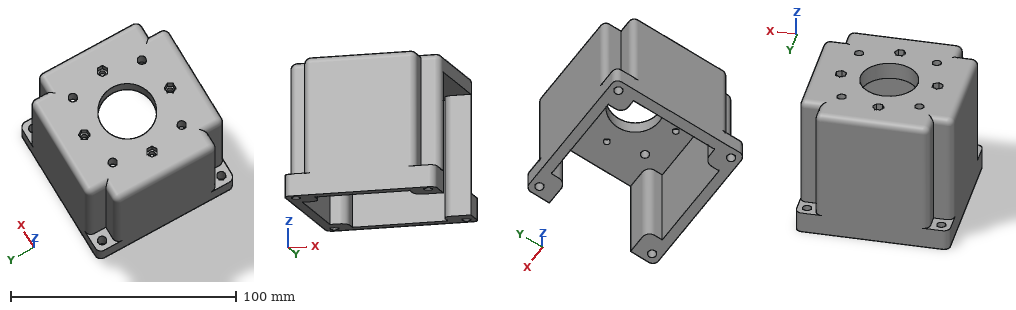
import cadquery as cq

SIDE = 70.0
HEIGHT = 63.0
EDGE_RADIUS = 3.0

CORNER_STEP = 9.0
FLANGE_THICKNESS = 10.0
FLANGE_HOLE_DIAMETER = 4.0
FLANGE_HOLE_INSET = 4.5

TOP_THICKNESS = 8.0
WALL_THICKNESS = 5.0
POST_WALL = 4.0
POST_RADIUS = 4.0

BORE_DIAMETER = 26.1
BOLT_HOLE_DIAMETER = 4.0
BOLT_CIRCLE_RADIUS = 25.0
NUT_HOLE_DIAMETER = 3.0
NUT_CIRCLE_RADIUS = 22.0
NUT_POCKET_WIDTH = 5.1
NUT_POCKET_DEPTH = 4.0

ARM_WIDTH = SIDE - 2 * CORNER_STEP
CHANNEL_WIDTH = ARM_WIDTH - 2 * POST_WALL
CAVITY_SIDE = SIDE - 2 * WALL_THICKNESS
CAVITY_HEIGHT = HEIGHT - TOP_THICKNESS

POSITION_TOLERANCE = 0.1


def block(length, width, height):
    """Box centred on the Z axis with its bottom at z = 0."""
    return cq.Workplane("XY").box(length, width, height, centered=(True, True, False))


def cross(span, arm_width, height):
    """Plus-shaped prism whose two arms share the same span and width."""
    return block(span, arm_width, height).union(block(arm_width, span, height))


def corner_edges(prism, half_x, half_y):
    """Vertical edges of a prism at the four places (+-half_x, +-half_y)."""
    return prism.edges("|Z").filter(
        lambda edge: abs(abs(edge.Center().x) - half_x) < POSITION_TOLERANCE
        and abs(abs(edge.Center().y) - half_y) < POSITION_TOLERANCE
    )


def make_shell():
    """Rounded cross-shaped housing standing on a square flange."""
    housing = cross(SIDE, ARM_WIDTH, HEIGHT)
    housing = corner_edges(housing, SIDE / 2, ARM_WIDTH / 2).fillet(EDGE_RADIUS)
    housing = corner_edges(housing, ARM_WIDTH / 2, SIDE / 2).fillet(EDGE_RADIUS)
    housing = housing.faces(">Z").edges().fillet(EDGE_RADIUS)
    flange = block(SIDE, SIDE, FLANGE_THICKNESS).edges("|Z").fillet(EDGE_RADIUS)
    return housing.union(flange)


def make_cavity():
    """Cross-shaped hollow between four rounded corner posts, run out through +X."""
    hollow = cross(CAVITY_SIDE, CHANNEL_WIDTH, CAVITY_HEIGHT)
    hollow = corner_edges(hollow, CHANNEL_WIDTH / 2, CHANNEL_WIDTH / 2).fillet(POST_RADIUS)
    opening = block(SIDE / 2, CHANNEL_WIDTH, CAVITY_HEIGHT).translate((SIDE / 4, 0, 0))
    return hollow.union(opening)


def make_flange_holes():
    spacing = SIDE - 2 * FLANGE_HOLE_INSET
    return (
        cq.Workplane("XY")
        .rect(spacing, spacing, forConstruction=True)
        .vertices()
        .circle(FLANGE_HOLE_DIAMETER / 2)
        .extrude(FLANGE_THICKNESS)
    )


def make_top_holes():
    """Central bore, diagonal bolt holes, and screw holes that pass through the nut pockets."""
    holes = cq.Workplane("XY").circle(BORE_DIAMETER / 2).extrude(HEIGHT)
    bolts = (
        cq.Workplane("XY")
        .polarArray(BOLT_CIRCLE_RADIUS, 45, 360, 4)
        .circle(BOLT_HOLE_DIAMETER / 2)
        .extrude(HEIGHT)
    )
    screws = (
        cq.Workplane("XY")
        .polarArray(NUT_CIRCLE_RADIUS, 0, 360, 4)
        .circle(NUT_HOLE_DIAMETER / 2)
        .extrude(HEIGHT)
    )
    return holes.union(bolts).union(screws)


def make_nut_pockets():
    """Hexagonal pockets, each with two of its corners along the tangential direction."""
    pocket = (
        cq.Workplane("XY", origin=(0, NUT_CIRCLE_RADIUS, HEIGHT))
        .polygon(6, NUT_POCKET_WIDTH)
        .extrude(-NUT_POCKET_DEPTH)
    )
    pockets = pocket
    for angle in (90, 180, 270):
        pockets = pockets.union(pocket.rotate((0, 0, 0), (0, 0, 1), angle))
    return pockets


result = (
    make_shell()
    .cut(make_cavity())
    .cut(make_flange_holes())
    .cut(make_top_holes())
    .cut(make_nut_pockets())
)